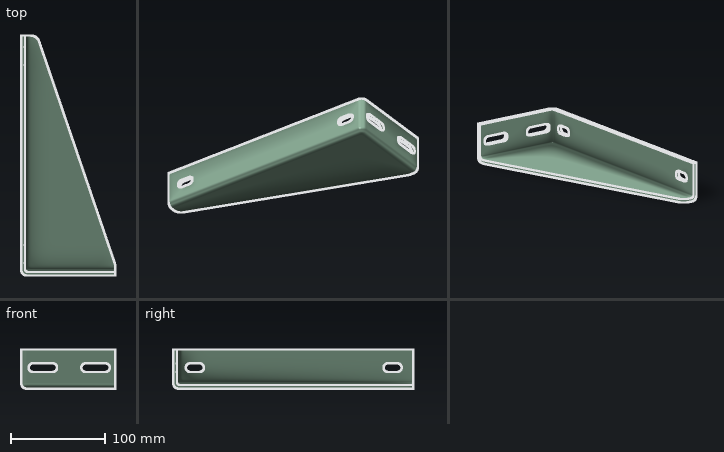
import cadquery as cq

width = 100.0
length = 255.0
height = 42.0
thickness = 4.0

outer_radius = 6.0
inner_radius = 3.0

tip_width = 17.0
straight_edge = 11.7
tip_radius = 9.5
slope_start_radius = 10.0

slot_height = 9.0
slot_level = 22.5
short_flange_slot_span = 30.0
short_flange_slot_centers = (23.0, 79.0)
long_flange_slot_span = 19.0
long_flange_slot_inset = 23.0
long_flange_slot_spacing = 210.0


def corner_block(offset, bend_radius):
    """Block reaching from the offset corner to the far sides, with its three corner edges rounded."""
    return (
        cq.Workplane("XY")
        .box(width - offset, length - offset, height - offset, centered=False)
        .translate((offset, offset, offset))
        .edges("(<X and <Y) or (<X and <Z) or (<Y and <Z)")
        .fillet(bend_radius)
    )


def folded_sheet():
    """Rectangular base with two upright flanges meeting at a rounded corner."""
    return corner_block(0, outer_radius).cut(corner_block(thickness, inner_radius))


def plan_outline():
    """Full-height prism of the bracket's outline, with both ends of the sloping edge rounded."""
    slope_start = (width, straight_edge)
    slope_end = (tip_width, length)
    prism = (
        cq.Workplane("XY")
        .polyline([(0, 0), (width, 0), slope_start, slope_end, (0, length)])
        .close()
        .extrude(height)
    )
    for (x, y), radius in ((slope_start, slope_start_radius), (slope_end, tip_radius)):
        corner = cq.selectors.NearestToPointSelector((x, y, height / 2))
        prism = prism.edges(corner).fillet(radius)
    return prism


def slot_cutters(plane, centers, span, depth):
    """Horizontal slots at the given positions along a flange."""
    return (
        cq.Workplane(plane)
        .pushPoints([(center, slot_level) for center in centers])
        .slot2D(span, slot_height)
        .extrude(depth)
    )


long_flange_slot_centers = (
    long_flange_slot_inset,
    long_flange_slot_inset + long_flange_slot_spacing,
)

short_flange_slots = slot_cutters("XZ", short_flange_slot_centers, short_flange_slot_span, -thickness)
long_flange_slots = slot_cutters("YZ", long_flange_slot_centers, long_flange_slot_span, thickness)

result = (
    folded_sheet()
    .intersect(plan_outline())
    .cut(short_flange_slots)
    .cut(long_flange_slots)
)